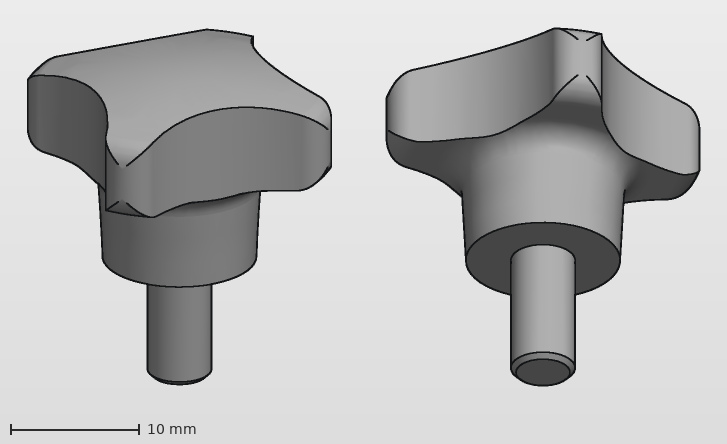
import cadquery as cq
import math

stud_length = 10.0
hub_height = 8.0
head_height = 8.0
head_top = hub_height + head_height

stud_radius = 2.5
stud_chamfer = 0.4

hub_bottom_radius = 6.0
hub_draft = math.radians(3.0)
hub_fillet = 2.0

head_radius = 12.5
dome_radius = 40.0
rim_fillet = 2.0
lobe_count = 4
lobe_tip_radius = 2.0
scallop_radius = 11.8

trim_allowance = 1.0


def arc_point(center, radius, angle):
    """Point on a circle at an angle in radians."""
    return (center[0] + radius * math.cos(angle), center[1] + radius * math.sin(angle))


def make_body_blank():
    """Revolved hub and head, before the lobe outline is cut."""
    flare_start_z = hub_height - hub_fillet * (1 - math.sin(hub_draft))
    flare_start_r = hub_bottom_radius + flare_start_z * math.tan(hub_draft)
    flare_center = (flare_start_r + hub_fillet * math.cos(hub_draft), hub_height - hub_fillet)
    flare_mid_angle = (math.pi / 2 + math.pi - hub_draft) / 2

    rim_center_r = head_radius - rim_fillet
    lower_center = (rim_center_r, hub_height + rim_fillet)
    dome_center = (0, head_top - dome_radius)
    dome_edge_angle = math.acos(rim_center_r / (dome_radius - rim_fillet))
    upper_center = arc_point(dome_center, dome_radius - rim_fillet, dome_edge_angle)
    dome_mid_angle = (dome_edge_angle + math.pi / 2) / 2
    band_radius = head_radius + trim_allowance

    return (
        cq.Workplane("XZ")
        .lineTo(hub_bottom_radius, 0)
        .lineTo(flare_start_r, flare_start_z)
        .threePointArc(
            arc_point(flare_center, hub_fillet, flare_mid_angle),
            (flare_center[0], hub_height),
        )
        .lineTo(rim_center_r, hub_height)
        .threePointArc(
            arc_point(lower_center, rim_fillet, -math.pi / 4),
            (head_radius, lower_center[1]),
        )
        .lineTo(band_radius, lower_center[1])
        .lineTo(band_radius, upper_center[1])
        .lineTo(head_radius, upper_center[1])
        .threePointArc(
            arc_point(upper_center, rim_fillet, dome_edge_angle / 2),
            arc_point(dome_center, dome_radius, dome_edge_angle),
        )
        .threePointArc(arc_point(dome_center, dome_radius, dome_mid_angle), (0, head_top))
        .close()
        .revolve(360, (0, 0, 0), (0, 1, 0))
    )


def turned(x, y, angle):
    """Point rotated about the part axis."""
    return (
        x * math.cos(angle) - y * math.sin(angle),
        x * math.sin(angle) + y * math.cos(angle),
    )


def make_lobe_prism():
    """Prism of the lobed outline: round tips joined tangentially by concave scallops."""
    tip_center = head_radius - lobe_tip_radius
    half_pitch = math.pi / lobe_count
    center_gap = scallop_radius + lobe_tip_radius
    half_chord = tip_center * math.sin(half_pitch)
    scallop_center = tip_center * math.cos(half_pitch) + math.sqrt(center_gap**2 - half_chord**2)
    scallop_bottom = scallop_center - scallop_radius
    touch_angle = math.atan2(
        scallop_center * math.sin(half_pitch),
        scallop_center * math.cos(half_pitch) - tip_center,
    )
    touch_x, touch_y = arc_point((tip_center, 0), lobe_tip_radius, touch_angle)

    outline = cq.Workplane("XY").moveTo(touch_x, -touch_y)
    for lobe in range(lobe_count):
        angle = 2 * half_pitch * lobe
        next_angle = angle + 2 * half_pitch
        outline = outline.threePointArc(
            turned(head_radius, 0, angle),
            turned(touch_x, touch_y, angle),
        )
        outline = outline.threePointArc(
            turned(scallop_bottom, 0, angle + half_pitch),
            turned(touch_x, -touch_y, next_angle),
        )
    return outline.close().extrude(head_top)


def make_stud():
    """Cylindrical stud below the hub with a chamfered end."""
    stud = cq.Workplane("XY").circle(stud_radius).extrude(-stud_length)
    return stud.faces("<Z").chamfer(stud_chamfer)


result = make_body_blank().intersect(make_lobe_prism()).union(make_stud())